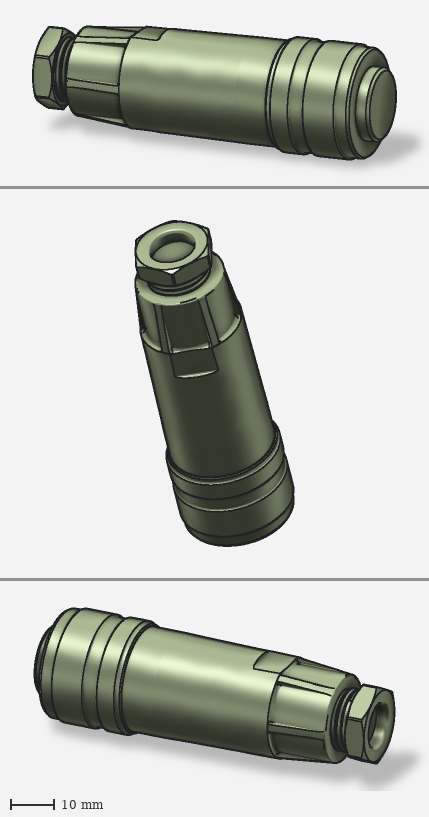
import cadquery as cq
import math


NUT_END = 4.9
COLLAR_START = 9.0
SHOULDER = 23.0
FLAT_END = 30.0
BARREL_STRAIGHT = 52.2
SLEEVE_START = 60.0
RINGS = [(61.5, 65.9), (69.7, 77.4)]
SLEEVE_END = 81.0
TOTAL_LENGTH = 84.3

NUT_FLATS = 17.1
NUT_CORNERS = 19.5
NUT_FACE_DIAMETER = 16.9
NUT_FRONT_CHAMFER = 0.6
NUT_BACK_CHAMFER = 0.8
BORE_DIAMETER = 10.5
BORE_DEPTH = 3.2
BORE_ROUND = 1.0

THREAD_DIAMETER = 15.0
THREAD_PITCH = 1.5
THREAD_DEPTH = 0.6
THREAD_START = 5.5
THREAD_START_ANGLE = 64
THREAD_TURNS = 3.2
GROOVE_WIDTH = 1.3
NECK_OVERLAP = 0.85

COLLAR_DIAMETER = 21.0
COLLAR_EDGE_ROUND = 0.4
PANEL_ROUND = 1.0
RIB_COUNT = 6
RIB_WIDTH = 1.85
RIB_END_DIAMETER = 23.8
RIB_FOOT_ROUND = 0.25
RIB_CORNER_ROUND = 0.8

BARREL_DIAMETER = 24.9
SHOULDER_DIAMETER = 24.0
FLAT_ACROSS = 21.9
FLAT_ROUND = 0.5

RING_DIAMETER = 27.0
BAND_DIAMETER = 26.0
SLEEVE_START_CHAMFER = 0.3
SLEEVE_END_CHAMFER_LENGTH = 0.7
SLEEVE_END_CHAMFER_DEPTH = 0.4
SPIGOT_DIAMETER = 17.4
SPIGOT_CHAMFER = 0.7


def x_cylinder(diameter, start, end):
    return cq.Workplane("YZ", origin=(start, 0, 0)).circle(diameter / 2).extrude(end - start)


def revolve_about_x(profile):
    return profile.close().revolve(360, (0, 0, 0), (1, 0, 0))


def make_nut():
    corner = NUT_CORNERS / 2
    face = NUT_FACE_DIAMETER / 2
    envelope = revolve_about_x(
        cq.Workplane("XY")
        .lineTo(0, face)
        .lineTo(NUT_FRONT_CHAMFER, corner)
        .lineTo(NUT_END - NUT_BACK_CHAMFER, corner)
        .lineTo(NUT_END, face)
        .lineTo(NUT_END, 0)
    )
    hexagon = (
        cq.Workplane("YZ")
        .polygon(6, NUT_FLATS / math.cos(math.pi / 6))
        .extrude(NUT_END)
        .rotate((0, 0, 0), (1, 0, 0), 90)
    )
    return envelope.intersect(hexagon)


def make_threaded_neck():
    radius = THREAD_DIAMETER / 2
    root = radius - THREAD_DEPTH
    clearance = 0.1
    neck = x_cylinder(THREAD_DIAMETER, NUT_END, COLLAR_START + NECK_OVERLAP)
    helix = cq.Wire.makeHelix(THREAD_PITCH, THREAD_PITCH * THREAD_TURNS, root)
    outer_half_width = GROOVE_WIDTH / 2 * (1 + clearance / THREAD_DEPTH)
    groove = (
        cq.Workplane("XZ")
        .moveTo(root, 0)
        .lineTo(radius + clearance, outer_half_width)
        .lineTo(radius + clearance, -outer_half_width)
        .close()
        .sweep(cq.Workplane(obj=helix), isFrenet=True)
        .rotate((0, 0, 0), (1, 1, 1), 120)
        .rotate((0, 0, 0), (1, 0, 0), THREAD_START_ANGLE)
        .translate((THREAD_START, 0, 0))
    )
    return neck.cut(groove)


def make_rib_pair():
    """Two opposite ribs along +Z and -Z, before they are trimmed to the rib cone."""
    half = RIB_WIDTH / 2
    floor = COLLAR_DIAMETER / 2
    corner = half + RIB_CORNER_ROUND
    foot = half + RIB_FOOT_ROUND
    walls = (
        cq.Workplane("XY", origin=(0, 0, -RIB_END_DIAMETER / 2))
        .moveTo(COLLAR_START, -half)
        .lineTo(SHOULDER - RIB_CORNER_ROUND, -half)
        .radiusArc((SHOULDER, -corner), RIB_CORNER_ROUND)
        .lineTo(SHOULDER, corner)
        .radiusArc((SHOULDER - RIB_CORNER_ROUND, half), RIB_CORNER_ROUND)
        .lineTo(COLLAR_START, half)
        .close()
        .extrude(RIB_END_DIAMETER)
    )
    foot_low = math.sqrt(floor**2 - foot**2)
    foot_high = foot_low + RIB_FOOT_ROUND
    feet = (
        cq.Workplane("YZ", origin=(COLLAR_START, 0, 0))
        .moveTo(-foot, -foot_low)
        .lineTo(-foot, foot_low)
        .radiusArc((-half, foot_high), -RIB_FOOT_ROUND)
        .lineTo(half, foot_high)
        .radiusArc((foot, foot_low), -RIB_FOOT_ROUND)
        .lineTo(foot, -foot_low)
        .radiusArc((half, -foot_high), -RIB_FOOT_ROUND)
        .lineTo(-half, -foot_high)
        .radiusArc((-foot, -foot_low), -RIB_FOOT_ROUND)
        .close()
        .extrude(SHOULDER - COLLAR_START)
    )
    return walls.union(feet)


def make_collar():
    floor = COLLAR_DIAMETER / 2
    panel_start = COLLAR_START + COLLAR_EDGE_ROUND
    collar = revolve_about_x(
        cq.Workplane("XY")
        .moveTo(COLLAR_START, 0)
        .lineTo(COLLAR_START, floor - COLLAR_EDGE_ROUND)
        .radiusArc((panel_start, floor), COLLAR_EDGE_ROUND)
        .lineTo(SHOULDER - PANEL_ROUND, floor)
        .radiusArc((SHOULDER, floor + PANEL_ROUND), -PANEL_ROUND)
        .lineTo(SHOULDER, 0)
    )
    rib_cone = revolve_about_x(
        cq.Workplane("XY")
        .moveTo(panel_start, 0)
        .lineTo(panel_start, floor)
        .lineTo(SHOULDER, RIB_END_DIAMETER / 2)
        .lineTo(SHOULDER, 0)
    )
    pitch_angle = 360 / RIB_COUNT
    for index in range(RIB_COUNT // 2):
        ribs = make_rib_pair().rotate((0, 0, 0), (1, 0, 0), (index + 0.5) * pitch_angle)
        collar = collar.union(rib_cone.intersect(ribs))
    return collar


def make_barrel():
    straight = BARREL_DIAMETER / 2
    return revolve_about_x(
        cq.Workplane("XY")
        .moveTo(SHOULDER, 0)
        .lineTo(SHOULDER, SHOULDER_DIAMETER / 2)
        .lineTo(BARREL_STRAIGHT, straight)
        .lineTo(SLEEVE_START, straight)
        .lineTo(SLEEVE_START, 0)
    )


def make_wrench_flat_cutter():
    low = FLAT_ACROSS / 2
    high = RING_DIAMETER / 2
    return (
        cq.Workplane("XZ", origin=(0, BARREL_DIAMETER / 2, 0))
        .moveTo(COLLAR_START, high)
        .lineTo(COLLAR_START, low)
        .lineTo(FLAT_END - FLAT_ROUND, low)
        .radiusArc((FLAT_END, low + FLAT_ROUND), -FLAT_ROUND)
        .lineTo(FLAT_END, high)
        .close()
        .extrude(BARREL_DIAMETER)
    )


def make_sleeve():
    band = BAND_DIAMETER / 2
    ring = RING_DIAMETER / 2
    step = ring - band
    profile = (
        cq.Workplane("XY")
        .moveTo(SLEEVE_START, 0)
        .lineTo(SLEEVE_START, band - SLEEVE_START_CHAMFER)
        .lineTo(SLEEVE_START + SLEEVE_START_CHAMFER, band)
    )
    for start, end in RINGS:
        profile = (
            profile.lineTo(start - step, band)
            .radiusArc((start, ring), -step)
            .lineTo(end, ring)
            .radiusArc((end + step, band), -step)
        )
    profile = (
        profile.lineTo(SLEEVE_END - SLEEVE_END_CHAMFER_LENGTH, band)
        .lineTo(SLEEVE_END, band - SLEEVE_END_CHAMFER_DEPTH)
        .lineTo(SLEEVE_END, 0)
    )
    return revolve_about_x(profile)


def make_spigot():
    return x_cylinder(SPIGOT_DIAMETER, SLEEVE_END, TOTAL_LENGTH).faces(">X").chamfer(SPIGOT_CHAMFER)


def make_bore_cutter():
    radius = BORE_DIAMETER / 2
    return revolve_about_x(
        cq.Workplane("XY")
        .lineTo(0, radius + BORE_ROUND)
        .radiusArc((BORE_ROUND, radius), -BORE_ROUND)
        .lineTo(BORE_DEPTH, radius)
        .lineTo(BORE_DEPTH, 0)
    )


barrel = make_collar().union(make_barrel())
flat_cutter = make_wrench_flat_cutter()
barrel = barrel.cut(flat_cutter).cut(flat_cutter.mirror("XY"))

result = (
    barrel.union(make_threaded_neck())
    .union(make_nut())
    .union(make_sleeve())
    .union(make_spigot())
    .cut(make_bore_cutter())
)